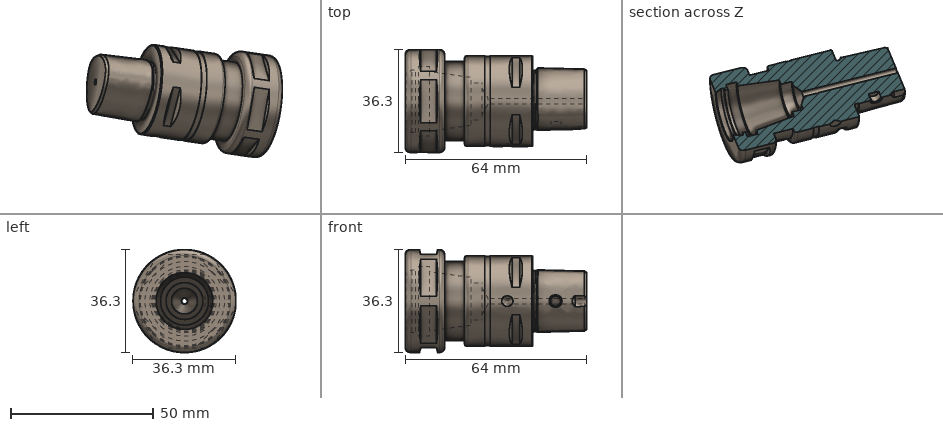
import cadquery as cq
import math

LENGTH = 64.0
DRILL_POINT_ANGLE = 118.0
CUT_CLEARANCE = 1.0

NUT_DIA = 36.3
NUT_LENGTH = 14.0
NUT_EDGE_RADIUS = 2.0
NUT_FLAT_COUNT = 6
NUT_FLAT_DISTANCE = 16.5
NUT_FLAT_START = 5.5
NUT_FLAT_LENGTH = 5.55
NUT_FLAT_WALL_ANGLE = 15.0

NECK_DIA = 28.0

BODY_DIA = 32.0
BODY_START = 20.9
BODY_END = 45.0
BODY_EDGE_RADIUS = 1.1
BODY_CHAMFER = 0.4
BODY_GROOVE_DIA = 31.6
BODY_GROOVE_START = 28.0
BODY_GROOVE_WIDTH = 2.0
BODY_FLAT_COUNT = 4
BODY_FLAT_DISTANCE = 14.2
BODY_FLAT_START = 37.7
BODY_FLAT_LENGTH = 2.6
BODY_FLAT_WALL_ANGLE = 30.0
DIMPLE_POSITION = 36.0
DIMPLE_DIA = 4.0

SHANK_MEAN_RADIUS = 11.05
SHANK_LOBE_HEIGHT = 0.7
POLYGON_POINT_COUNT = 36
SHANK_TAPER = 1 / 40
SHANK_END_CHAMFER_LENGTH = 1.0
SHANK_END_CHAMFER_HEIGHT = 0.6
UNDERCUT_LENGTH = 1.4
UNDERCUT_DEPTH = 0.2
UNDERCUT_LOBE_RADIUS = 10.8
UNDERCUT_CYLINDER_LENGTH = 1.0
UNDERCUT_RUNOUT = 0.25
UNDERCUT_FILLET = 0.3

CROSS_HOLE_POSITION = 53.0
CROSS_HOLE_DIA = 3.6
CROSS_HOLE_DEPTH = 3.0
CROSS_HOLE_CHAMFER = 0.5
KEYWAY_DIA = 5.0
KEYWAY_DEPTH = 1.05
KEYWAY_LENGTH = 4.1
KEYWAY_DOME_RADIUS = 2.9

MOUTH_DIA = 20.0
MOUTH_LIP_LENGTH = 0.3
NUT_GROOVE_DIA = 22.1
NUT_CONE_END = 2.4
NUT_GROOVE_END = 3.5
NUT_RING_END = 4.7
THREAD_BORE_DIA = 24.5
COLLET_START = 8.45
COLLET_MOUTH_DIA = 21.0
COLLET_END_DIA = 16.9
COLLET_HALF_ANGLE = 8.0
INNER_BORE_DIA = 13.0
INNER_BORE_LENGTH = 4.0
COOLANT_CONE_DIA = 9.1
COOLANT_DIA = 2.0


def drill_point_height(diameter):
    """Height of the cone that a drill leaves at the bottom of a hole."""
    return diameter / 2 / math.tan(math.radians(DRILL_POINT_ANGLE / 2))


def disc(start, end, diameter):
    """Cylinder around X between two X positions."""
    return cq.Workplane("YZ", origin=(start, 0, 0)).circle(diameter / 2).extrude(end - start)


def revolved(points):
    """Solid of revolution around X from (position, radius) points."""
    return cq.Workplane("XY").polyline(points).close().revolve(360, (0, 0, 0), (1, 0, 0))


def flat_cutters(count, distance, start, length, wall_angle, outer_radius, first_angle):
    """Trapezoid slots with sloping walls, spread evenly around X; angles are taken from +Z."""
    height = outer_radius - distance + CUT_CLEARANCE
    spread = height * math.tan(math.radians(wall_angle))
    top = distance + height
    end = start + length
    slot = (
        cq.Workplane("XZ")
        .polyline([(start, distance), (end, distance), (end + spread, top), (start - spread, top)])
        .close()
        .extrude(outer_radius, both=True)
    )
    cutters = cq.Workplane()
    for index in range(count):
        cutters.add(slot.rotate((0, 0, 0), (1, 0, 0), first_angle + index * 360 / count))
    return cutters.combine()


def make_nut():
    nut = disc(0, NUT_LENGTH, NUT_DIA).edges().fillet(NUT_EDGE_RADIUS)
    return nut.cut(
        flat_cutters(
            NUT_FLAT_COUNT, NUT_FLAT_DISTANCE, NUT_FLAT_START, NUT_FLAT_LENGTH,
            NUT_FLAT_WALL_ANGLE, NUT_DIA / 2, 0,
        )
    )


def make_dimple():
    """Drill-point dimple in the -Y side of the body."""
    radius = DIMPLE_DIA / 2
    surface = -BODY_DIA / 2
    tip = surface + drill_point_height(DIMPLE_DIA)
    axis = DIMPLE_POSITION
    return (
        cq.Workplane("XY")
        .polyline([(axis, surface), (axis + radius, surface), (axis, tip)])
        .close()
        .revolve(360, (axis, 0, 0), (axis, 1, 0))
    )


def make_body():
    body = disc(BODY_START, BODY_END, BODY_DIA)
    body = body.faces("<X").edges().fillet(BODY_EDGE_RADIUS)
    body = body.faces(">X").edges().chamfer(BODY_CHAMFER)
    groove_end = BODY_GROOVE_START + BODY_GROOVE_WIDTH
    groove = disc(BODY_GROOVE_START, groove_end, BODY_DIA + CUT_CLEARANCE)
    body = body.cut(groove.cut(disc(BODY_GROOVE_START, groove_end, BODY_GROOVE_DIA)))
    body = body.cut(
        flat_cutters(
            BODY_FLAT_COUNT, BODY_FLAT_DISTANCE, BODY_FLAT_START, BODY_FLAT_LENGTH,
            BODY_FLAT_WALL_ANGLE, BODY_DIA / 2, 180 / BODY_FLAT_COUNT,
        )
    )
    return body.cut(make_dimple())


def polygon_wire(position, mean_radius):
    """Three-lobed outline of constant width; the curve starts on the flat flank at -Y."""
    points = []
    for index in range(POLYGON_POINT_COUNT):
        angle = math.pi + 2 * math.pi * index / POLYGON_POINT_COUNT
        reach = mean_radius + SHANK_LOBE_HEIGHT * math.cos(3 * angle)
        slope = -3 * SHANK_LOBE_HEIGHT * math.sin(3 * angle)
        y = reach * math.cos(angle) - slope * math.sin(angle)
        z = reach * math.sin(angle) + slope * math.cos(angle)
        points.append(cq.Vector(position, y, z))
    return cq.Wire.assembleEdges([cq.Edge.makeSpline(points, periodic=True)])


def polygon_section(start, end, start_radius, end_radius):
    wires = [polygon_wire(start, start_radius), polygon_wire(end, end_radius)]
    return cq.Workplane(cq.Solid.makeLoft(wires, True))


def shank_radius(position):
    return SHANK_MEAN_RADIUS - SHANK_TAPER * (position - BODY_END)


def make_cross_hole():
    """Blind hole with a chamfered rim in the -Y flank."""
    axis = CROSS_HOLE_POSITION
    surface = -(shank_radius(axis) - SHANK_LOBE_HEIGHT)
    radius = CROSS_HOLE_DIA / 2
    rim_radius = radius + CROSS_HOLE_CHAMFER
    bottom = surface + CROSS_HOLE_DEPTH
    return (
        cq.Workplane("XY")
        .polyline([
            (axis, -BODY_DIA / 2),
            (axis + rim_radius, -BODY_DIA / 2),
            (axis + rim_radius, surface),
            (axis + radius, surface + CROSS_HOLE_CHAMFER),
            (axis + radius, bottom),
            (axis, bottom),
        ])
        .close()
        .revolve(360, (axis, 0, 0), (axis, 1, 0))
    )


def make_keyway():
    """Shallow round groove along X in the -Y flank, open at the shank end, with a domed inner end."""
    start = LENGTH - KEYWAY_LENGTH
    radius = KEYWAY_DIA / 2
    axis_y = -(shank_radius(start) - SHANK_LOBE_HEIGHT) - radius + KEYWAY_DEPTH
    dome_height = KEYWAY_DOME_RADIUS - math.sqrt(KEYWAY_DOME_RADIUS**2 - radius**2)
    groove = (
        cq.Workplane("XY")
        .moveTo(start - dome_height, 0)
        .radiusArc((start, radius), KEYWAY_DOME_RADIUS)
        .lineTo(LENGTH, radius)
        .lineTo(LENGTH, 0)
        .close()
        .revolve(360, (0, 0, 0), (1, 0, 0))
    )
    return groove.translate((0, axis_y, 0))


def make_shank():
    undercut_end = BODY_END + UNDERCUT_LENGTH
    taper_start = undercut_end + UNDERCUT_RUNOUT
    taper_end = LENGTH - SHANK_END_CHAMFER_LENGTH
    start_radius = shank_radius(taper_start)
    end_radius = shank_radius(taper_end)
    taper = polygon_section(taper_start, taper_end, start_radius, end_radius)
    tip = polygon_section(taper_end, LENGTH, end_radius, end_radius - SHANK_END_CHAMFER_HEIGHT)
    undercut_radius = start_radius - UNDERCUT_DEPTH
    undercut = polygon_section(BODY_END, undercut_end, undercut_radius, undercut_radius)
    runout = polygon_section(undercut_end, taper_start, undercut_radius, start_radius)
    shank = undercut.union(runout).union(taper).union(tip)

    cone_start = BODY_END + UNDERCUT_CYLINDER_LENGTH
    cone_height = SHANK_MEAN_RADIUS + 2 * SHANK_LOBE_HEIGHT - UNDERCUT_LOBE_RADIUS
    envelope_radius = UNDERCUT_LOBE_RADIUS + cone_height
    envelope = revolved([
        (BODY_END, 0),
        (BODY_END, UNDERCUT_LOBE_RADIUS),
        (cone_start, UNDERCUT_LOBE_RADIUS),
        (cone_start + cone_height, envelope_radius),
        (LENGTH, envelope_radius),
        (LENGTH, 0),
    ])
    shank = shank.intersect(envelope)
    return shank.cut(make_cross_hole()).cut(make_keyway())


def make_bore():
    """Everything hollow along X: nut opening, collet seat, inner bore and coolant channel."""
    seat_length = (COLLET_MOUTH_DIA - COLLET_END_DIA) / 2 / math.tan(math.radians(COLLET_HALF_ANGLE))
    seat_end = COLLET_START + seat_length
    inner_end = seat_end + INNER_BORE_LENGTH
    coolant_start = inner_end + drill_point_height(COOLANT_CONE_DIA) - drill_point_height(COOLANT_DIA)
    return revolved([
        (0, 0),
        (0, MOUTH_DIA / 2),
        (MOUTH_LIP_LENGTH, MOUTH_DIA / 2),
        (NUT_CONE_END, NUT_GROOVE_DIA / 2),
        (NUT_GROOVE_END, NUT_GROOVE_DIA / 2),
        (NUT_GROOVE_END, MOUTH_DIA / 2),
        (NUT_RING_END, MOUTH_DIA / 2),
        (NUT_RING_END, THREAD_BORE_DIA / 2),
        (COLLET_START, THREAD_BORE_DIA / 2),
        (COLLET_START, COLLET_MOUTH_DIA / 2),
        (seat_end, COLLET_END_DIA / 2),
        (seat_end, INNER_BORE_DIA / 2),
        (inner_end, INNER_BORE_DIA / 2),
        (inner_end, COOLANT_CONE_DIA / 2),
        (coolant_start, COOLANT_DIA / 2),
        (LENGTH, COOLANT_DIA / 2),
        (LENGTH, 0),
    ])


def join_shank(body, shank):
    """Fuse the shank to the body and round the corner between them."""
    joined = body.union(shank)
    inside_rim = BODY_DIA / 2 - BODY_CHAMFER - UNDERCUT_FILLET
    thickness = UNDERCUT_FILLET / 2
    corner = joined.edges(
        cq.selectors.BoxSelector(
            (BODY_END - thickness, -inside_rim, -inside_rim),
            (BODY_END + thickness, inside_rim, inside_rim),
            boundingbox=True,
        )
    )
    return corner.fillet(UNDERCUT_FILLET)


neck = disc(NUT_LENGTH, BODY_START, NECK_DIA)
body_and_shank = join_shank(make_body(), make_shank())
result = make_nut().union(neck).union(body_and_shank).cut(make_bore())